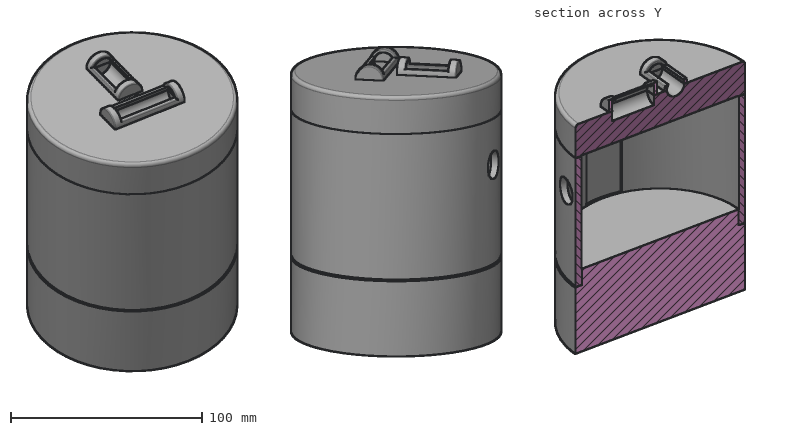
import cadquery as cq

OUTER_D = 110.0
TOTAL_HEIGHT = 147.5
BASE_TOP = 41.0
SLEEVE_TOP = 119.8
LID_EDGE_FILLET = 2.0
SEAM_CHAMFER = 0.5
BORE_D = 101.8
PLUG_TOP = 50.7

PORT_D = 15.0
PORT_Z = 94.7
PORT_ANGLE = 10.3
KEYWAY_DEPTH = 1.3
KEYWAY_WIDTH = 23.0

CRADLE_D = 15.0
RAIL_HEIGHT = 3.0
END_BLOCK = 4.4
CAVITY_END_WALL = 2.4
CRADLE_FILLET = 0.5
SHORT_CRADLE_LENGTH = 31.5
SHORT_CRADLE_X = -17.5
SHORT_VIAL_D = 12.0
LONG_CRADLE_LENGTH = 43.0
LONG_CRADLE_X = 10.0
LONG_VIAL_D = 10.9

LID_TOP = TOTAL_HEIGHT - CRADLE_D / 2


def disc(diameter, bottom, top):
    """Vertical cylinder on the Z axis between two heights."""
    return cq.Workplane("XY").workplane(offset=bottom).circle(diameter / 2).extrude(top - bottom)


def bar_along_x(diameter, length):
    """Round bar on the X axis, centred on the origin."""
    return cq.Workplane("YZ").workplane(offset=-length / 2).circle(diameter / 2).extrude(length)


def make_base():
    foot = disc(OUTER_D, 0, BASE_TOP).faces(">Z").edges().chamfer(SEAM_CHAMFER)
    return foot.union(disc(BORE_D, BASE_TOP, PLUG_TOP))


def make_port():
    return (
        cq.Workplane("YZ")
        .center(0, PORT_Z)
        .circle(PORT_D / 2)
        .extrude(-OUTER_D)
        .rotate((0, 0, 0), (0, 0, 1), -PORT_ANGLE)
    )


def make_keyway():
    side = (
        cq.Workplane("XY")
        .workplane(offset=PLUG_TOP)
        .center(0, OUTER_D / 2)
        .rect(KEYWAY_WIDTH, OUTER_D)
        .extrude(SLEEVE_TOP - PLUG_TOP)
    )
    return disc(BORE_D + 2 * KEYWAY_DEPTH, PLUG_TOP, SLEEVE_TOP).intersect(side)


def make_sleeve():
    tube = disc(OUTER_D, BASE_TOP, SLEEVE_TOP).faces("<Z").edges().chamfer(SEAM_CHAMFER)
    bore = disc(BORE_D, BASE_TOP, SLEEVE_TOP)
    return tube.cut(bore).cut(make_port()).cut(make_keyway())


def make_vial_cavity(length, vial_diameter):
    """Round cavity on the X axis, closed off inside both cradle ends."""
    return bar_along_x(vial_diameter, length - 2 * CAVITY_END_WALL)


def make_cradle(length, vial_diameter):
    """Cradle along X, centred on the origin, standing on Z = 0."""
    upper_half = cq.Workplane("XY").rect(length, CRADLE_D).extrude(CRADLE_D)
    window = (
        cq.Workplane("XY")
        .workplane(offset=RAIL_HEIGHT)
        .rect(length - 2 * END_BLOCK, CRADLE_D)
        .extrude(CRADLE_D)
    )
    body = bar_along_x(CRADLE_D, length).intersect(upper_half).cut(window)

    above_foot = cq.selectors.BoxSelector(
        (-length, -CRADLE_D, CRADLE_FILLET), (length, CRADLE_D, CRADLE_D)
    )
    rail_ends = cq.selectors.BoxSelector(
        (-length, -CRADLE_FILLET, RAIL_HEIGHT - CRADLE_FILLET),
        (length, CRADLE_FILLET, RAIL_HEIGHT + CRADLE_FILLET),
    )
    rounded_edges = cq.selectors.SubtractSelector(above_foot, rail_ends)
    return body.edges(rounded_edges).fillet(CRADLE_FILLET).cut(make_vial_cavity(length, vial_diameter))


def place_short(shape):
    """Keep the shape along X and set it on the lid's -X side."""
    return shape.translate((SHORT_CRADLE_X, 0, LID_TOP))


def place_long(shape):
    """Turn the shape along Y and set it on the lid's +X side."""
    return shape.rotate((0, 0, 0), (0, 0, 1), 90).translate((LONG_CRADLE_X, 0, LID_TOP))


def make_lid():
    lid = disc(OUTER_D, SLEEVE_TOP, LID_TOP).faces(">Z").edges().fillet(LID_EDGE_FILLET)
    lid = lid.cut(place_short(make_vial_cavity(SHORT_CRADLE_LENGTH, SHORT_VIAL_D)))
    return lid.cut(place_long(make_vial_cavity(LONG_CRADLE_LENGTH, LONG_VIAL_D)))


base = make_base()
sleeve = make_sleeve()
lid = make_lid()
short_cradle = place_short(make_cradle(SHORT_CRADLE_LENGTH, SHORT_VIAL_D))
long_cradle = place_long(make_cradle(LONG_CRADLE_LENGTH, LONG_VIAL_D))

result = cq.Compound.makeCompound(
    [base.val(), sleeve.val(), lid.val(), short_cradle.val(), long_cradle.val()]
)